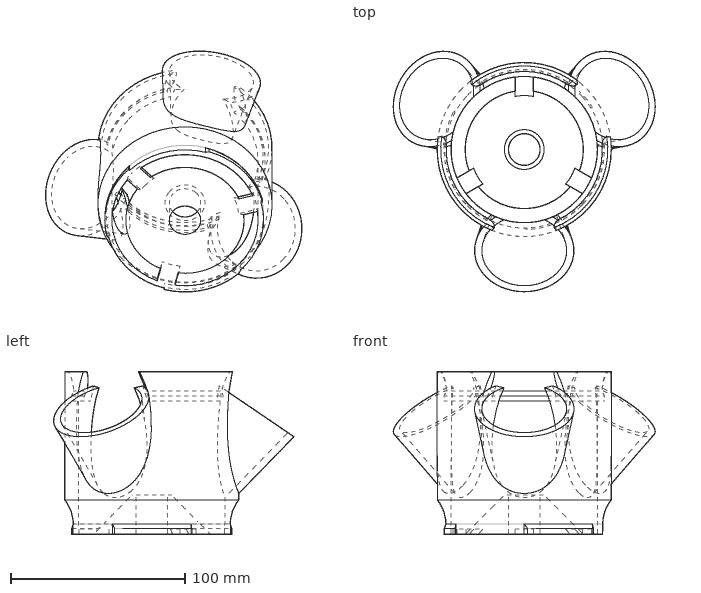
import cadquery as cq
import math

height = 93.6
shell_radius = 100.0 / 2
bore_radius = 84.0 / 2
shell_bottom = 19.9

neck_radius = 45.1
ring_height = 6.0
lug_radius = 46.0
lug_edge_height = 3.3
lug_sweep = 60
lug_ramp_sweep = 2.4
lug_start_angles = (30, 150, 270)

rim_radius = 48.0
catch_radius = 44.8
catch_height = 82.3
groove_radius = 46.0
groove_top = 79.6
ledge_height = 76.6

tube_angles = (30, 150, 270)
tube_rise = 55.8
tube_half_angle = 10.0
mouth_radius = 28.6
mouth_bore_radius = 24.4
mouth_distance = 58.1
mouth_height = 72.2
tube_depth = 57.2
clearance_length = 37.6

cone_radius = 34.0
cone_top_radius = 22.9 / 2
cone_hole_radius = 18.0 / 2
cone_height = cone_radius - cone_top_radius
arm_width = 10.5
arm_height = 3.0
arm_overlap = 1.5
arm_angles = (90, 210, 330)

tube_axis = cq.Vector(math.cos(math.radians(tube_rise)), 0, math.sin(math.radians(tube_rise)))
mouth_center = cq.Vector(mouth_distance, 0, mouth_height)


def tangent_arc_middle(radial_span, axial_span):
    """Offsets to the middle of an arc that starts along the axis and turns off it."""
    radius = (radial_span**2 + axial_span**2) / (2 * radial_span)
    half_turn = math.asin(axial_span / radius) / 2
    return radius * (1 - math.cos(half_turn)), radius * math.sin(half_turn)


def about_axis(solid, angle):
    return solid.rotate((0, 0, 0), (0, 0, 1), angle)


def polar(radius, angle):
    return radius * math.cos(math.radians(angle)), radius * math.sin(math.radians(angle))


def make_shell():
    """Body, not yet bored, with the flared neck outside and the grooved socket on top."""
    neck_out, neck_up = tangent_arc_middle(shell_radius - neck_radius, shell_bottom - ring_height)
    rim_out, rim_up = tangent_arc_middle(rim_radius - catch_radius, height - catch_height)
    return (
        cq.Workplane("XZ")
        .moveTo(0, 0)
        .lineTo(neck_radius, 0)
        .lineTo(neck_radius, ring_height)
        .threePointArc((neck_radius + neck_out, ring_height + neck_up), (shell_radius, shell_bottom))
        .lineTo(shell_radius, height)
        .lineTo(rim_radius, height)
        .threePointArc((catch_radius + rim_out, catch_height + rim_up), (catch_radius, catch_height))
        .lineTo(groove_radius, groove_top)
        .lineTo(groove_radius, ledge_height)
        .lineTo(0, ledge_height)
        .close()
        .revolve(360, (0, 0, 0), (0, 1, 0))
    )


def make_lug(start_angle):
    """Bayonet lug with a sloping top and a lead-in ramp at its start."""
    middle_radius = (bore_radius + neck_radius) / 2
    band = (
        cq.Workplane("XZ")
        .moveTo(middle_radius, 0)
        .lineTo(lug_radius, 0)
        .lineTo(lug_radius, lug_edge_height)
        .lineTo(neck_radius, ring_height)
        .lineTo(middle_radius, ring_height)
        .close()
        .revolve(360, (0, 0, 0), (0, 1, 0))
    )
    sector = (
        cq.Workplane("XY")
        .moveTo(*polar(middle_radius, 0))
        .lineTo(*polar(neck_radius, 0))
        .lineTo(*polar(lug_radius, lug_ramp_sweep))
        .threePointArc(polar(lug_radius, lug_sweep / 2), polar(lug_radius, lug_sweep))
        .lineTo(*polar(middle_radius, lug_sweep))
        .threePointArc(polar(middle_radius, lug_sweep / 2), polar(middle_radius, 0))
        .close()
        .extrude(ring_height)
    )
    return about_axis(band.intersect(sector), start_angle)


def make_tapered_plug(radius):
    """Cone along the tube axis that has the given radius at the mouth."""
    inner_radius = radius - tube_depth * math.tan(math.radians(tube_half_angle))
    start = mouth_center - tube_axis * tube_depth
    return cq.Workplane(obj=cq.Solid.makeCone(inner_radius, radius, tube_depth, start, tube_axis))


def make_mouth_clearance():
    """Cylinder beyond the mouth plane that opens the rim above the tube."""
    cylinder = cq.Solid.makeCylinder(mouth_radius, clearance_length, mouth_center, tube_axis)
    return cq.Workplane(obj=cylinder)


def make_center_cone():
    """Solid cone with a through hole, standing on the bottom plane."""
    return (
        cq.Workplane("XZ")
        .moveTo(cone_hole_radius, 0)
        .lineTo(cone_radius, 0)
        .lineTo(cone_top_radius, cone_height)
        .lineTo(cone_hole_radius, cone_height)
        .close()
        .revolve(360, (0, 0, 0), (0, 1, 0))
    )


def make_arm(angle):
    """Flat bar from inside the cone to inside the shell wall."""
    inner = cone_radius - arm_height - arm_overlap
    outer = bore_radius + arm_overlap
    arm = cq.Workplane("XY").box(outer - inner, arm_width, arm_height, centered=(False, True, False))
    return about_axis(arm.translate((inner, 0, 0)), angle)


tube_outside = make_tapered_plug(mouth_radius)
tube_inside = make_tapered_plug(mouth_bore_radius)
mouth_clearance = make_mouth_clearance()

result = make_shell()
for angle in tube_angles:
    result = result.union(about_axis(tube_outside, angle))
for angle in lug_start_angles:
    result = result.union(make_lug(angle))
result = result.cut(cq.Workplane("XY").circle(bore_radius).extrude(height))
for angle in tube_angles:
    result = result.cut(about_axis(tube_inside, angle))
    result = result.cut(about_axis(mouth_clearance, angle))
result = result.union(make_center_cone())
for angle in arm_angles:
    result = result.union(make_arm(angle))